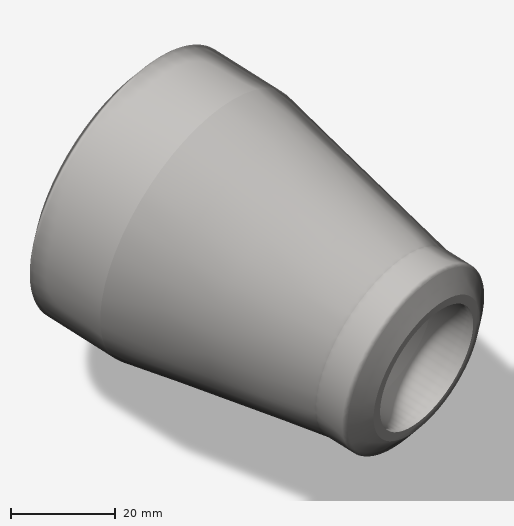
import cadquery as cq
import math

length = 76.0
large_diameter = 60.3
small_diameter = 42.4
large_bore = 47.7
small_bore = 28.2

large_collar = 20.0
small_collar = 10.0

large_bore_straight = 12.0
small_bore_straight = small_collar

land_width = 2.0
bevel_angle = 30.0
bevel_rounding = 1.0


def bevel_depth(outer_diameter, bore):
    """Axial depth of a bevel running from the land to the outer wall."""
    radial_drop = (outer_diameter - bore) / 2 - land_width
    return radial_drop * math.tan(math.radians(bevel_angle))


def ring_edges(body, x, diameter):
    """Select the circular edge with the given axial place and diameter."""
    margin = 0.1
    reach = diameter / 2 + margin
    box = cq.selectors.BoxSelector(
        (x - margin, -reach, -reach), (x + margin, reach, reach), boundingbox=True
    )
    return body.edges(box)


large_bevel_end = bevel_depth(large_diameter, large_bore)
small_bevel_start = length - bevel_depth(small_diameter, small_bore)
cone_start = large_collar
cone_end = length - small_collar

body = (
    cq.Workplane("XY")
    .moveTo(0, 0)
    .lineTo(0, large_bore / 2 + land_width)
    .lineTo(large_bevel_end, large_diameter / 2)
    .lineTo(cone_start, large_diameter / 2)
    .lineTo(cone_end, small_diameter / 2)
    .lineTo(small_bevel_start, small_diameter / 2)
    .lineTo(length, small_bore / 2 + land_width)
    .lineTo(length, 0)
    .close()
    .revolve(360, (0, 0, 0), (1, 0, 0))
)

body = ring_edges(body, large_bevel_end, large_diameter).fillet(bevel_rounding)
body = ring_edges(body, small_bevel_start, small_diameter).fillet(bevel_rounding)

bore = (
    cq.Workplane("XY")
    .moveTo(0, 0)
    .lineTo(0, large_bore / 2)
    .lineTo(large_bore_straight, large_bore / 2)
    .lineTo(length - small_bore_straight, small_bore / 2)
    .lineTo(length, small_bore / 2)
    .lineTo(length, 0)
    .close()
    .revolve(360, (0, 0, 0), (1, 0, 0))
)

result = body.cut(bore)